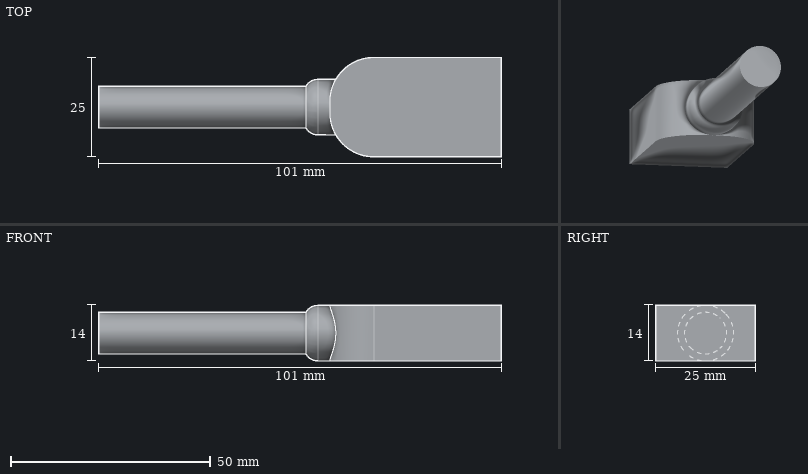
import cadquery as cq

total_length = 101.0

body_width = 25.0
body_height = 14.0
body_length = 43.0
body_corner_radius = 11.0
body_start = total_length - body_length

collar_diameter = body_height
collar_start = 51.5
collar_shoulder_radius = 3.5
collar_end = body_start + body_corner_radius

cable_diameter = 10.5


def rod(diameter, start, end):
    """Cylinder along X between two stations."""
    return cq.Workplane("YZ", origin=(start, 0, 0)).circle(diameter / 2).extrude(end - start)


def make_body():
    """Flat block whose two cable-side vertical corners are rounded."""
    block = cq.Workplane("XY", origin=(body_start + body_length / 2, 0, 0)).box(
        body_length, body_width, body_height
    )
    return block.edges("|Z and <X").fillet(body_corner_radius)


def make_collar():
    """Strain-relief collar with a rounded shoulder."""
    collar = rod(collar_diameter, collar_start, collar_end)
    return collar.faces("<X").edges().fillet(collar_shoulder_radius)


cable = rod(cable_diameter, 0, collar_end)
result = make_body().union(make_collar()).union(cable)